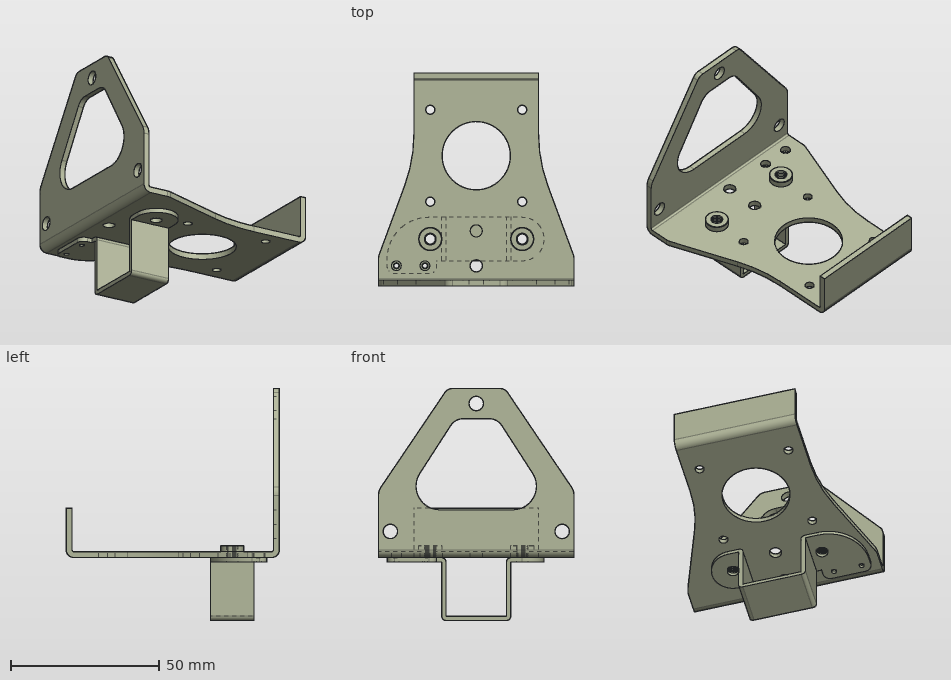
import cadquery as cq
import math


WIDTH = 66.0
DEPTH = 71.9
HEIGHT = 78.3

SHEET = 2.0
BEND_INNER_R = 0.6
BEND_OUTER_R = BEND_INNER_R + SHEET
REAR_FLANGE_HEIGHT = 16.7

REAR_WIDTH = 42.1
TAPER_FRONT_Y = 10.0
TAPER_REAR_Y = 42.35
TAPER_FRONT_R = 4.0
TAPER_REAR_R = 50.1

MOTOR_Y = 44.0
MOTOR_BORE_D = 22.9
MOTOR_SCREW_PITCH = 31.0
MOTOR_SCREW_D = 3.0

BOSS_X = MOTOR_SCREW_PITCH / 2
BOSS_Y = 15.9
BOSS_D = 7.8
BOSS_HEIGHT = 2.1
BOSS_TOP_Z = SHEET + BOSS_HEIGHT
BOSS_RIM_CHAMFER = 0.15
THREAD_MINOR_D = 3.4
THREAD_MAJOR_D = 4.0
THREAD_GROOVES = 6

CENTRE_HOLE_D = 4.1
CENTRE_HOLE_REAR_Y = 18.6
FRONT_ROW_Y = 6.9
TAB_HOLE_XS = (-26.9, -17.3)
TAB_CLEARANCE_D = 3.3
TAB_MOUTH_D = 2.0
TAB_BORE_D = 1.65

STRAP_DEPTH = 21.2
STRAP_SHEET = 1.5
STRAP_CHANNEL_WIDTH = 23.3
STRAP_WIDTH = 14.7
STRAP_FRONT_Y = BOSS_Y - STRAP_WIDTH / 2
STRAP_REAR_Y = BOSS_Y + STRAP_WIDTH / 2
TAB_LEFT_X = -30.05
TAB_RIGHT_X = -13.4
TAB_FRONT_Y = 4.2
TAB_CORNER_R = 2.5
TAB_REAR_R = 14.0

PLATE_TOP_Z = HEIGHT - STRAP_DEPTH
PLATE_TOP_WIDTH = 19.3
PLATE_SHOULDER_Z = 22.55
PLATE_TOP_R = 3.0
PLATE_SHOULDER_R = 5.0
PLATE_HOLE_D = 4.8
PLATE_TOP_HOLE_Z = 52.0
PLATE_LOW_HOLE_X = 28.95
PLATE_LOW_HOLE_Z = 8.85

WINDOW_BOTTOM_Z = 16.1
WINDOW_TOP_Z = 46.8
WINDOW_BOTTOM_WIDTH = 53.85
WINDOW_TOP_WIDTH = 14.25
WINDOW_BOTTOM_R = 8.0
WINDOW_TOP_R = 5.0

PICK_MARGIN = 0.8


def upright_cylinders(points, diameter, bottom_z, top_z):
    """Upright cylinders at (x, y) points."""
    return (
        cq.Workplane("XY", origin=(0, 0, bottom_z))
        .pushPoints(points)
        .circle(diameter / 2)
        .extrude(top_z - bottom_z)
    )


def mouth_cone(x, y, top_z, mouth_d, bore_d):
    """A 45 degree countersink that opens a bore to a wider mouth at top_z."""
    cone_height = (mouth_d - bore_d) / 2
    return cq.Workplane(
        cq.Solid.makeCone(bore_d / 2, mouth_d / 2, cone_height, cq.Vector(x, y, top_z - cone_height))
    )


def upright_prism(points, y_start, y_end):
    """A prism along Y on an outline of (x, z) points."""
    return cq.Workplane("XZ", origin=(0, y_end, 0)).polyline(points).close().extrude(y_end - y_start)


def bent_sheet():
    """The folded sheet at full width: front plate, floor and rear flange."""
    profile = [
        (0, 0),
        (DEPTH, 0),
        (DEPTH, REAR_FLANGE_HEIGHT),
        (DEPTH - SHEET, REAR_FLANGE_HEIGHT),
        (DEPTH - SHEET, SHEET),
        (SHEET, SHEET),
        (SHEET, PLATE_TOP_Z),
        (0, PLATE_TOP_Z),
    ]
    sheet = cq.Workplane("YZ", origin=(-WIDTH / 2, 0, 0)).polyline(profile).close().extrude(WIDTH)
    outer_bends = cq.selectors.BoxSelector((-WIDTH, -SHEET, -SHEET), (WIDTH, DEPTH + SHEET, SHEET / 2))
    inner_bends = cq.selectors.BoxSelector(
        (-WIDTH, SHEET / 2, SHEET / 2), (WIDTH, DEPTH - SHEET / 2, BEND_OUTER_R)
    )
    sheet = sheet.edges("|X").edges(outer_bends).fillet(BEND_OUTER_R)
    return sheet.edges("|X").edges(inner_bends).fillet(BEND_INNER_R)


def floor_blank():
    """Upright prism on the floor outline, wide at the front and narrow at the rear."""
    half_front = WIDTH / 2
    half_rear = REAR_WIDTH / 2
    right_side = [
        (half_front, 0),
        (half_front, TAPER_FRONT_Y),
        (half_rear, TAPER_REAR_Y),
        (half_rear, DEPTH),
    ]
    left_side = [(-x, y) for x, y in reversed(right_side)]
    blank = cq.Workplane("XY").polyline(right_side + left_side).close().extrude(PLATE_TOP_Z)
    front_corners = cq.selectors.BoxSelector(
        (-WIDTH, TAPER_FRONT_Y - PICK_MARGIN, 0), (WIDTH, TAPER_FRONT_Y + PICK_MARGIN, PLATE_TOP_Z)
    )
    rear_corners = cq.selectors.BoxSelector(
        (-WIDTH, TAPER_REAR_Y - PICK_MARGIN, 0), (WIDTH, TAPER_REAR_Y + PICK_MARGIN, PLATE_TOP_Z)
    )
    blank = blank.edges("|Z").edges(front_corners).fillet(TAPER_FRONT_R)
    return blank.edges("|Z").edges(rear_corners).fillet(TAPER_REAR_R)


def plate_blank():
    """Prism along the whole depth on the outline of the front plate."""
    half_width = WIDTH / 2
    half_top = PLATE_TOP_WIDTH / 2
    outline = [
        (-half_width, 0),
        (half_width, 0),
        (half_width, PLATE_SHOULDER_Z),
        (half_top, PLATE_TOP_Z),
        (-half_top, PLATE_TOP_Z),
        (-half_width, PLATE_SHOULDER_Z),
    ]
    blank = upright_prism(outline, 0, DEPTH)
    blank = blank.edges("|Y").edges(">Z").fillet(PLATE_TOP_R)
    shoulders = cq.selectors.BoxSelector(
        (-WIDTH, 0, PLATE_SHOULDER_Z - PICK_MARGIN), (WIDTH, DEPTH, PLATE_SHOULDER_Z + PICK_MARGIN)
    )
    return blank.edges("|Y").edges(shoulders).fillet(PLATE_SHOULDER_R)


def plate_window():
    """Cutter for the rounded trapezium window in the front plate."""
    half_bottom = WINDOW_BOTTOM_WIDTH / 2
    half_top = WINDOW_TOP_WIDTH / 2
    outline = [
        (-half_bottom, WINDOW_BOTTOM_Z),
        (half_bottom, WINDOW_BOTTOM_Z),
        (half_top, WINDOW_TOP_Z),
        (-half_top, WINDOW_TOP_Z),
    ]
    window = upright_prism(outline, 0, SHEET)
    window = window.edges("|Y").edges("<Z").fillet(WINDOW_BOTTOM_R)
    return window.edges("|Y").edges(">Z").fillet(WINDOW_TOP_R)


def plate_holes():
    """Cutters for the three round holes in the front plate."""
    centres = [
        (0, PLATE_TOP_HOLE_Z),
        (-PLATE_LOW_HOLE_X, PLATE_LOW_HOLE_Z),
        (PLATE_LOW_HOLE_X, PLATE_LOW_HOLE_Z),
    ]
    plane = cq.Workplane("XZ", origin=(0, SHEET, 0))
    return plane.pushPoints(centres).circle(PLATE_HOLE_D / 2).extrude(SHEET)


def boss_blank(x):
    """A solid round boss on the floor, with its top rim chamfered."""
    boss = upright_cylinders([(x, BOSS_Y)], BOSS_D, SHEET, BOSS_TOP_Z)
    return boss.edges(">Z").chamfer(BOSS_RIM_CHAMFER)


def threaded_bore(x):
    """Cutter through a boss and the floor, with its thread simplified to ring-shaped V grooves."""
    minor_r = THREAD_MINOR_D / 2
    major_r = THREAD_MAJOR_D / 2
    pitch = BOSS_TOP_Z / THREAD_GROOVES
    profile = [(0, 0), (major_r, 0)]
    for groove in range(THREAD_GROOVES):
        profile.append((minor_r, (groove + 0.5) * pitch))
        profile.append((major_r, (groove + 1) * pitch))
    profile.append((0, BOSS_TOP_Z))
    bore = cq.Workplane("XZ").polyline(profile).close().revolve(360, (0, 0), (0, 1))
    return bore.translate((x, BOSS_Y, 0))


def make_frame():
    """The folded sheet with its two threaded bosses."""
    frame = bent_sheet().intersect(floor_blank()).intersect(plate_blank())
    frame = frame.cut(plate_window()).cut(plate_holes())

    half_pitch = MOTOR_SCREW_PITCH / 2
    motor_screws = [
        (side * half_pitch, MOTOR_Y + end * half_pitch) for side in (-1, 1) for end in (-1, 1)
    ]
    centre_holes = [(0, CENTRE_HOLE_REAR_Y), (0, FRONT_ROW_Y)]
    tab_holes = [(x, FRONT_ROW_Y) for x in TAB_HOLE_XS]
    frame = frame.cut(upright_cylinders([(0, MOTOR_Y)], MOTOR_BORE_D, 0, SHEET))
    frame = frame.cut(upright_cylinders(motor_screws, MOTOR_SCREW_D, 0, SHEET))
    frame = frame.cut(upright_cylinders(centre_holes, CENTRE_HOLE_D, 0, SHEET))
    frame = frame.cut(upright_cylinders(tab_holes, TAB_CLEARANCE_D, 0, SHEET))

    for side in (-1, 1):
        frame = frame.union(boss_blank(side * BOSS_X))
        frame = frame.cut(threaded_bore(side * BOSS_X))
    return frame


def strap_channel():
    """The U-shaped middle of the strap with the inner ends of its flanges."""
    half_outer = STRAP_CHANNEL_WIDTH / 2
    half_inner = half_outer - STRAP_SHEET
    right_half = [
        (half_outer, -STRAP_DEPTH),
        (half_outer, -STRAP_SHEET),
        (BOSS_X, -STRAP_SHEET),
        (BOSS_X, 0),
        (half_inner, 0),
        (half_inner, STRAP_SHEET - STRAP_DEPTH),
    ]
    left_half = [(-x, z) for x, z in reversed(right_half)]
    channel = upright_prism(right_half + left_half, STRAP_FRONT_Y, STRAP_REAR_Y)
    lower_bends = channel.edges("|Y").edges("<Z")
    channel = lower_bends.fillet(STRAP_SHEET)
    upper_bends = cq.selectors.BoxSelector(
        (-half_outer, 0, -STRAP_SHEET / 2), (half_outer, DEPTH, STRAP_SHEET / 2)
    )
    return channel.edges("|Y").edges(upper_bends).fillet(STRAP_SHEET)


def right_flange():
    """The right flange, with a half-round outer end around its screw hole."""
    inner_x = STRAP_CHANNEL_WIDTH / 2
    return (
        cq.Workplane("XY", origin=(0, 0, -STRAP_SHEET))
        .moveTo(inner_x, STRAP_FRONT_Y)
        .lineTo(BOSS_X, STRAP_FRONT_Y)
        .threePointArc((BOSS_X + STRAP_WIDTH / 2, BOSS_Y), (BOSS_X, STRAP_REAR_Y))
        .lineTo(inner_x, STRAP_REAR_Y)
        .close()
        .extrude(STRAP_SHEET)
    )


def left_flange():
    """The left flange, which carries a tab to the front and has one large rounded corner."""
    diagonal = math.sqrt(0.5)
    arc_centre_x = TAB_LEFT_X + TAB_REAR_R
    arc_centre_y = STRAP_REAR_Y - TAB_REAR_R
    inner_x = -STRAP_CHANNEL_WIDTH / 2
    flange = (
        cq.Workplane("XY", origin=(0, 0, -STRAP_SHEET))
        .moveTo(inner_x, STRAP_REAR_Y)
        .lineTo(arc_centre_x, STRAP_REAR_Y)
        .threePointArc(
            (arc_centre_x - TAB_REAR_R * diagonal, arc_centre_y + TAB_REAR_R * diagonal),
            (TAB_LEFT_X, arc_centre_y),
        )
        .lineTo(TAB_LEFT_X, TAB_FRONT_Y)
        .lineTo(TAB_RIGHT_X, TAB_FRONT_Y)
        .lineTo(TAB_RIGHT_X, STRAP_FRONT_Y)
        .lineTo(inner_x, STRAP_FRONT_Y)
        .close()
        .extrude(STRAP_SHEET)
    )
    return flange.edges("|Z").edges("<Y").fillet(TAB_CORNER_R)


def make_strap():
    """The hat-shaped strap with its screw holes."""
    strap = strap_channel().union(right_flange()).union(left_flange())
    boss_screws = [(-BOSS_X, BOSS_Y), (BOSS_X, BOSS_Y)]
    strap = strap.cut(upright_cylinders(boss_screws, THREAD_MAJOR_D, -STRAP_SHEET, 0))
    tab_holes = [(x, FRONT_ROW_Y) for x in TAB_HOLE_XS]
    strap = strap.cut(upright_cylinders(tab_holes, TAB_BORE_D, -STRAP_SHEET, 0))
    for x, y in tab_holes:
        strap = strap.cut(mouth_cone(x, y, 0, TAB_MOUTH_D, TAB_BORE_D))
    return strap


frame = make_frame()
strap = make_strap()

result = cq.Compound.makeCompound([frame.val(), strap.val()])